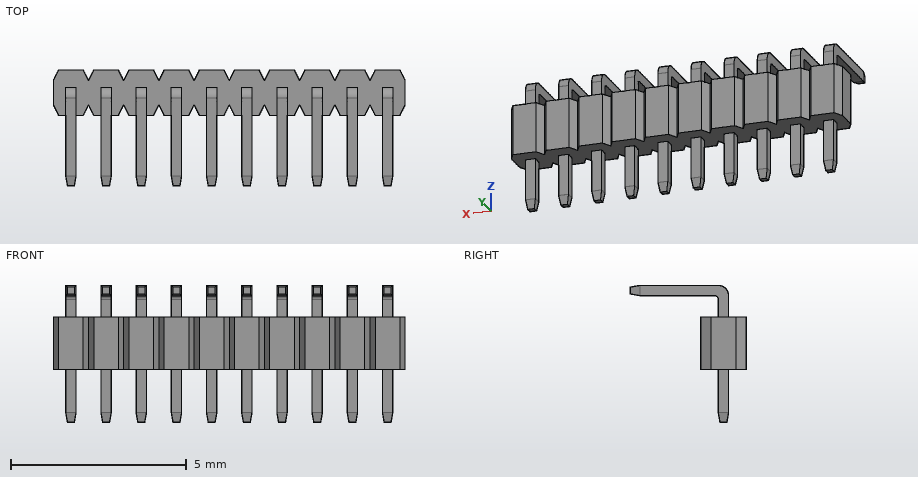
import cadquery as cq

pin_count = 10
pitch = 1.0

housing_length = pin_count * pitch
housing_depth = 1.3
housing_height = 1.5
cell_flat_length = 0.7
corner_depth = 0.3

pin_width = 0.3
tip_width = 0.2
tip_length = 0.28
tail_length = 1.5
rise_above_housing = 0.9
overall_depth = 3.3
bend_outer_radius = 0.3
bend_inner_radius = 0.1

tail_end_z = -housing_height / 2 - tail_length
arm_top_z = housing_height / 2 + rise_above_housing
arm_centre_z = arm_top_z - pin_width / 2
arm_end_y = housing_depth / 2 - overall_depth


def housing_cell(x):
    """One pitch of the housing: a block with its four upright corners cut off."""
    half_x = pitch / 2
    half_y = housing_depth / 2
    flat_x = cell_flat_length / 2
    flat_y = half_y - corner_depth
    outline = [
        (-half_x, -flat_y),
        (-flat_x, -half_y),
        (flat_x, -half_y),
        (half_x, -flat_y),
        (half_x, flat_y),
        (flat_x, half_y),
        (-flat_x, half_y),
        (-half_x, flat_y),
    ]
    cell = cq.Workplane("XY").polyline(outline).close().extrude(housing_height)
    return cell.translate((x, 0, -housing_height / 2))


def tapered_tip(base_plane):
    """Square tip narrowing along the normal of the plane at its base."""
    return (
        cq.Workplane(base_plane)
        .rect(pin_width, pin_width)
        .workplane(offset=tip_length)
        .rect(tip_width, tip_width)
        .loft(ruled=True)
    )


def bent_pin():
    """L-shaped square pin at X = 0 with a rounded bend and two tapered tips."""
    half = pin_width / 2
    tail_base_z = tail_end_z + tip_length
    arm_base_y = arm_end_y + tip_length
    arm_bottom_z = arm_top_z - pin_width
    shank_outline = [
        (-half, tail_base_z),
        (half, tail_base_z),
        (half, arm_top_z),
        (arm_base_y, arm_top_z),
        (arm_base_y, arm_bottom_z),
        (-half, arm_bottom_z),
    ]
    shank = cq.Workplane("YZ").polyline(shank_outline).close().extrude(half, both=True)
    outer_corner = cq.selectors.NearestToPointSelector((0, half, arm_top_z))
    inner_corner = cq.selectors.NearestToPointSelector((0, -half, arm_bottom_z))
    shank = shank.edges(outer_corner).fillet(bend_outer_radius)
    shank = shank.edges(inner_corner).fillet(bend_inner_radius)

    tail_plane = cq.Plane(origin=(0, 0, tail_base_z), xDir=(1, 0, 0), normal=(0, 0, -1))
    arm_plane = cq.Plane(origin=(0, arm_base_y, arm_centre_z), xDir=(1, 0, 0), normal=(0, -1, 0))
    return shank.union(tapered_tip(tail_plane)).union(tapered_tip(arm_plane))


first_pin_x = (pitch - housing_length) / 2
pin_positions = [first_pin_x + index * pitch for index in range(pin_count)]
pin = bent_pin()

result = housing_cell(pin_positions[0])
for x in pin_positions[1:]:
    result = result.union(housing_cell(x))
for x in pin_positions:
    result = result.union(pin.translate((x, 0, 0)))
result = result.clean()